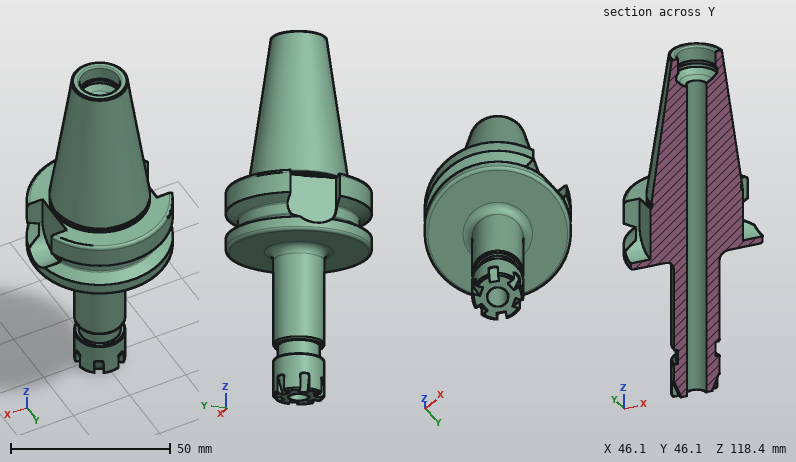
import cadquery as cq
import math

total_height = 118.4
gauge_height = 70.0
flange_top = 68.1
flange_bottom = 48.0
shank_bottom = 16.8
nut_height = 12.1

taper_ratio = 7 / 24
gauge_radius = 15.9
small_end_radius = gauge_radius - (total_height - gauge_height) * taper_ratio / 2
small_end_chamfer = 0.4
relief_depth = 0.4
relief_top = 69.5
relief_bottom = 68.7

flange_radius = 23.03
flange_edge_fillet = 1.1
groove_radius = 19.2
groove_bottom = 54.5
groove_top = 58.3
groove_floor_fillet = 0.5
groove_angle = math.radians(30)
groove_side_rise = (flange_radius - groove_radius) * math.tan(groove_angle)

shank_radius = 8.0
shank_root_fillet = 2.8
shank_chamfer_height = 0.7
shank_chamfer_width = 0.5
neck_radius = 6.6
nut_radius = 8.0
nut_top_chamfer = 0.4
nut_bottom_chamfer = 0.6

keyway_width = 16.1
keyway_floor = 16.1
keyway_bottom = 50.4

slot_count = 6
slot_width = 3.0
slot_height = 5.6
slot_corner_radius = 1.0
slot_face_floor = 5.5
slot_end_floor = 7.8

pilot_radius = 6.4
pilot_depth = 5.0
pilot_rim_fillet = 0.6
undercut_radius = 7.1
undercut_start = 6.4
undercut_end = 7.6
seat_radius = 5.3
seat_slope = math.radians(45)
bore_radius = 3.3
bore_entry_slope = math.radians(30)

edge_tolerance = 0.01


def ring_edge(body, radius, height):
    """Circular edge around the axis at a given radius and height."""
    reach = radius + edge_tolerance
    box = cq.selectors.BoxSelector(
        (-reach, -reach, height - edge_tolerance),
        (reach, reach, height + edge_tolerance),
        boundingbox=True,
    )
    return body.edges(box).edges(cq.selectors.RadiusNthSelector(-1))


def holder_body():
    """Revolved outer shape from the nut face up to the small end of the taper."""
    arc_side = shank_root_fillet * math.sqrt(0.5)
    shank_root = flange_bottom - shank_root_fillet
    root_radius = shank_radius + shank_root_fillet
    relief_radius = gauge_radius - relief_depth
    profile = (
        cq.Workplane("XZ")
        .moveTo(0, 0)
        .lineTo(nut_radius - nut_bottom_chamfer, 0)
        .lineTo(nut_radius, nut_bottom_chamfer)
        .lineTo(nut_radius, nut_height - nut_top_chamfer)
        .lineTo(nut_radius - nut_top_chamfer, nut_height)
        .lineTo(neck_radius, nut_height)
        .lineTo(neck_radius, shank_bottom)
        .lineTo(shank_radius - shank_chamfer_width, shank_bottom)
        .lineTo(shank_radius, shank_bottom + shank_chamfer_height)
        .lineTo(shank_radius, shank_root)
        .threePointArc(
            (root_radius - arc_side, shank_root + arc_side),
            (root_radius, flange_bottom),
        )
        .lineTo(flange_radius, flange_bottom)
        .lineTo(flange_radius, groove_bottom - groove_side_rise)
        .lineTo(groove_radius, groove_bottom)
        .lineTo(groove_radius, groove_top)
        .lineTo(flange_radius, groove_top + groove_side_rise)
        .lineTo(flange_radius, flange_top)
        .lineTo(gauge_radius, flange_top)
        .lineTo(gauge_radius, relief_bottom)
        .lineTo(relief_radius, relief_bottom)
        .lineTo(relief_radius, relief_top)
        .lineTo(gauge_radius, relief_top)
        .lineTo(gauge_radius, gauge_height)
        .lineTo(small_end_radius, total_height)
        .lineTo(0, total_height)
        .close()
    )
    body = profile.revolve(360, (0, 0, 0), (0, 1, 0))
    for height in (flange_bottom, flange_top):
        body = ring_edge(body, flange_radius, height).fillet(flange_edge_fillet)
    for height in (groove_bottom, groove_top):
        body = ring_edge(body, groove_radius, height).fillet(groove_floor_fillet)
    return body.faces(">Z").edges().chamfer(small_end_chamfer)


def bore():
    """Through bore that opens in two cones to an undercut and a pilot at the small end."""
    undercut_floor = total_height - undercut_end
    seat_height = undercut_floor - (undercut_radius - seat_radius) * math.tan(seat_slope)
    bore_top = seat_height - (seat_radius - bore_radius) * math.tan(bore_entry_slope)
    arc_inset = pilot_rim_fillet * (1 - math.sqrt(0.5))
    profile = (
        cq.Workplane("XZ")
        .moveTo(0, 0)
        .lineTo(bore_radius, 0)
        .lineTo(bore_radius, bore_top)
        .lineTo(seat_radius, seat_height)
        .lineTo(undercut_radius, undercut_floor)
        .lineTo(undercut_radius, total_height - undercut_start)
        .lineTo(pilot_radius, total_height - pilot_depth)
        .lineTo(pilot_radius, total_height - pilot_rim_fillet)
        .threePointArc(
            (pilot_radius + arc_inset, total_height - arc_inset),
            (pilot_radius + pilot_rim_fillet, total_height),
        )
        .lineTo(0, total_height)
        .close()
    )
    return profile.revolve(360, (0, 0, 0), (0, 1, 0))


def keyway(side):
    """Round-bottomed keyway across the flange; side is +1 or -1 along X."""
    half_width = keyway_width / 2
    arc_center = keyway_bottom + half_width
    return (
        cq.Workplane("YZ", origin=(side * keyway_floor, 0, 0))
        .moveTo(-half_width, flange_top)
        .lineTo(-half_width, arc_center)
        .threePointArc((0, keyway_bottom), (half_width, arc_center))
        .lineTo(half_width, flange_top)
        .close()
        .extrude(side * flange_radius)
    )


def wrench_slot(angle):
    """Slot in the nut whose floor leans inward toward the nut face."""
    outside = 2 * nut_radius
    slot = (
        cq.Workplane("XZ")
        .polyline(
            [
                (slot_face_floor, 0),
                (outside, 0),
                (outside, slot_height),
                (slot_end_floor, slot_height),
            ]
        )
        .close()
        .extrude(slot_width / 2, both=True)
    )
    slot = slot.faces(">Z").edges("|X").fillet(slot_corner_radius)
    return slot.rotate((0, 0, 0), (0, 0, 1), angle)


result = holder_body().cut(bore())
for side in (1, -1):
    result = result.cut(keyway(side))
for index in range(slot_count):
    result = result.cut(wrench_slot(index * 360 / slot_count))